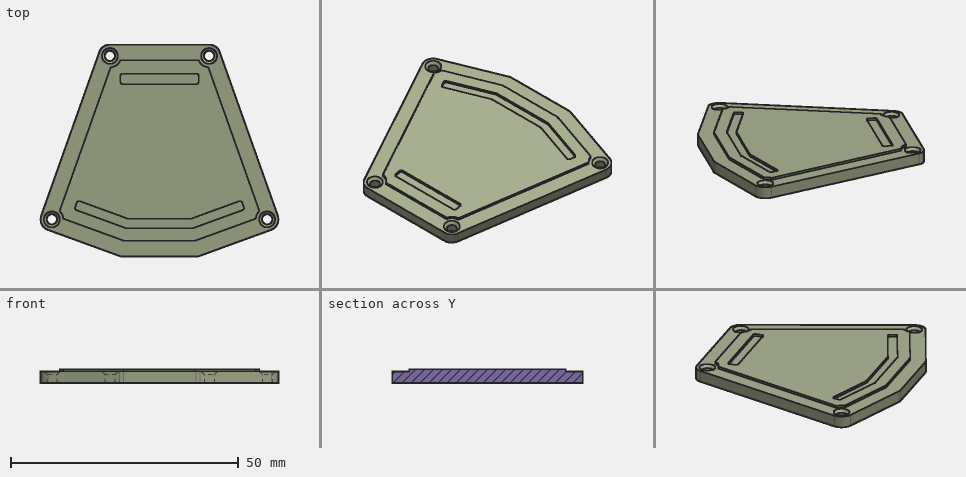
import cadquery as cq
import math

overall_width = 52.32
overall_depth = 46.62
overall_height = 3.1
corner_radius = 2.5
top_hole_x = 10.9
bend_x = 8.0
edge_tilt = math.radians(20)

panel_height = 0.5
panel_inset = 3.5
corner_relief_radius = 2.5

hole_diameter = 2.2
sink_diameter = 3.5
sink_angle = 90

slot_depth = panel_height
slot_corner_radius = 0.5
top_slot_width = 2.3
top_slot_length = 17.2
top_slot_inset = 6.4
bent_slot_width = 2.1
bent_slot_inset = 6.25
bent_slot_end_inset = 6.4

plate_height = overall_height - panel_height
top_y = overall_depth / 2
bottom_y = -overall_depth / 2
bottom_hole_x = overall_width / 2 - corner_radius
top_hole_y = top_y - corner_radius
bend_y = bottom_y + corner_radius
bottom_hole_y = bend_y + (bottom_hole_x - bend_x) * math.tan(edge_tilt)

hole_points = [
    (-top_hole_x, top_hole_y),
    (top_hole_x, top_hole_y),
    (bottom_hole_x, bottom_hole_y),
    (-bottom_hole_x, bottom_hole_y),
]


def corner_frame():
    """Closed six-sided wire through the hole centres and the two lower bends."""
    right = [
        (top_hole_x, top_hole_y),
        (bottom_hole_x, bottom_hole_y),
        (bend_x, bend_y),
    ]
    left = [(-x, y) for x, y in reversed(right)]
    return cq.Workplane("XY").polyline(right + left).close()


def make_plate():
    """Base plate with every corner of the frame rounded about its frame point."""
    return corner_frame().offset2D(corner_radius, "arc").extrude(plate_height)


def make_panel():
    """Raised panel parallel to the plate edge, cut back around each screw hole."""
    panel = (
        corner_frame()
        .offset2D(corner_radius - panel_inset, "intersection")
        .extrude(panel_height)
        .translate((0, 0, plate_height))
    )
    reliefs = (
        cq.Workplane("XY", origin=(0, 0, plate_height))
        .pushPoints(hole_points)
        .circle(corner_relief_radius)
        .extrude(panel_height)
    )
    return panel.cut(reliefs)


def screw_hole_tools():
    """Through bores, each with a conical sink opening at the top of the plate."""
    sink_radius = sink_diameter / 2
    sink_depth = (sink_diameter - hole_diameter) / 2 / math.tan(math.radians(sink_angle / 2))
    bores = cq.Workplane("XY").pushPoints(hole_points).circle(hole_diameter / 2).extrude(plate_height)
    sinks = (
        cq.Workplane("XY", origin=(0, 0, plate_height))
        .pushPoints(hole_points)
        .circle(sink_radius)
        .extrude(-sink_depth, taper=sink_angle / 2)
    )
    return bores.union(sinks)


def top_slot():
    """Straight slot parallel to the upper edge of the plate."""
    return (
        cq.Workplane("XY", origin=(0, top_y - top_slot_inset - top_slot_width / 2, overall_height))
        .rect(top_slot_length, top_slot_width)
        .extrude(-slot_depth)
        .edges("|Z")
        .fillet(slot_corner_radius)
    )


def bent_slot_corners(inset):
    """Bend and end corner of a line parallel to the lower right edge, at a distance inside it."""
    from_frame = inset - corner_radius
    bend = (bend_x - from_frame * math.tan(edge_tilt / 2), bend_y + from_frame)
    side_step = bent_slot_end_inset - corner_radius
    end = (
        bottom_hole_x - side_step * math.cos(edge_tilt) - from_frame * math.sin(edge_tilt),
        bottom_hole_y - side_step * math.sin(edge_tilt) + from_frame * math.cos(edge_tilt),
    )
    return bend, end


def bent_slot():
    """Slot that follows the three lower edges of the plate."""
    outer_bend, outer_end = bent_slot_corners(bent_slot_inset)
    inner_bend, inner_end = bent_slot_corners(bent_slot_inset + bent_slot_width)
    right = [outer_bend, outer_end, inner_end, inner_bend]
    left = [(-x, y) for x, y in reversed(right)]
    slot = cq.Workplane("XY", origin=(0, 0, overall_height)).polyline(right + left).close()
    slot = slot.extrude(-slot_depth)
    upright_edges = slot.edges("|Z").vals()
    end_edges = [edge for edge in upright_edges if abs(edge.Center().x) > outer_bend[0]]
    return slot.newObject(end_edges).fillet(slot_corner_radius)


body = make_plate().union(make_panel())
result = body.cut(screw_hole_tools()).cut(top_slot()).cut(bent_slot())